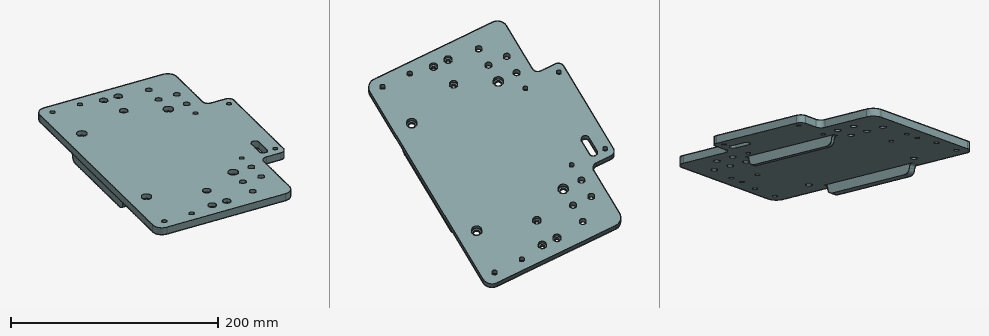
import cadquery as cq

PLATE_WIDTH = 250.0
PLATE_DEPTH = 150.0
PLATE_THICKNESS = 8.0
PLATE_CORNER_RADIUS = 10.0

TAB_WIDTH = 113.0
TAB_LENGTH = 28.0
TAB_RADIUS = 6.0

RIB_HEIGHT = 10.0
RIB_FLARE_RADIUS = 4.0
RIB_ROUND_RADIUS = RIB_HEIGHT - RIB_FLARE_RADIUS
RIB_LEFT = -51.8
FRONT_RIB_RIGHT = 51.0
FRONT_RIB_Y = 1.5
FRONT_RIB_THICKNESS = 8.0
REAR_RIB_RIGHT = 52.0
REAR_RIB_Y = 123.0
REAR_RIB_THICKNESS = 4.0

SLOT_X = 37.0
SLOT_Y = 158.8
SLOT_LENGTH = 24.0
SLOT_WIDTH = 8.0

TAB_HOLE_DIAMETER = 4.5
TAB_HOLE_X = 47.0
TAB_HOLE_FRONT_Y = 134.0
TAB_HOLE_REAR_Y = 170.8

GRID_PITCH = 20.0
GRID_HOLE_DIAMETER = 6.5
GRID_BORE_DIAMETER = 10.0
GRID_BORE_DEPTH = 5.0
GRID_X = 66.0
GRID_Y = 114.5
GRID_FRONT_Y = 19.5

GROUP_HOLE_DIAMETER = 4.5
GROUP_BORE_DIAMETER = 8.0
GROUP_BORE_DEPTH = 4.0
GROUP_INNER_X = 83.8
GROUP_OUTER_X = 109.8
GROUP_LEFT_Y = 75.0
GROUP_RIGHT_Y = 76.0
GROUP_HALF_SPACING = 8.0

EDGE_HOLE_DIAMETER = 5.0
EDGE_HOLE_X = 114.0
EDGE_HOLE_FRONT_Y = 13.2
EDGE_HOLE_REAR_Y = 43.2


def mirrored(points):
    """Return the points together with their mirror images across X = 0."""
    return [(side * x, y) for side in (-1, 1) for x, y in points]


def make_plate():
    """Rounded plate with a narrower tab blended into its rear edge."""
    body = (
        cq.Workplane("XY")
        .rect(PLATE_WIDTH, PLATE_DEPTH)
        .extrude(PLATE_THICKNESS)
        .translate((0, PLATE_DEPTH / 2, 0))
        .edges("|Z")
        .fillet(PLATE_CORNER_RADIUS)
    )
    tab_start = PLATE_DEPTH / 2
    tab_end = PLATE_DEPTH + TAB_LENGTH
    tab = (
        cq.Workplane("XY")
        .rect(TAB_WIDTH, tab_end - tab_start)
        .extrude(PLATE_THICKNESS)
        .translate((0, (tab_start + tab_end) / 2, 0))
        .edges("|Z and >Y")
        .fillet(TAB_RADIUS)
    )
    half_tab = TAB_WIDTH / 2
    inner_corners = cq.selectors.BoxSelector(
        (-half_tab - 2.5, PLATE_DEPTH - 2.5, -2.5),
        (half_tab + 2.5, PLATE_DEPTH + 2.5, PLATE_THICKNESS + 2.5),
    )
    return body.union(tab).edges("|Z").edges(inner_corners).fillet(TAB_RADIUS)


def make_rib(left, right, front_y, thickness):
    """Hanging rib whose ends flare into the plate and are rounded at the bottom."""
    flare = RIB_FLARE_RADIUS
    rounding = RIB_ROUND_RADIUS
    return (
        cq.Workplane("XZ", origin=(0, front_y, 0))
        .moveTo(left - flare, 0)
        .radiusArc((left, -flare), flare)
        .radiusArc((left + rounding, -RIB_HEIGHT), -rounding)
        .lineTo(right - rounding, -RIB_HEIGHT)
        .radiusArc((right, -flare), -rounding)
        .radiusArc((right + flare, 0), flare)
        .close()
        .extrude(-thickness)
    )


def drill(part, points, diameter):
    """Cut plain through holes from the top face."""
    top = cq.Workplane("XY", origin=(0, 0, PLATE_THICKNESS))
    return part.cut(top.pushPoints(points).circle(diameter / 2).extrude(-PLATE_THICKNESS - RIB_HEIGHT))


def counterbore(part, points, diameter, bore_diameter, bore_depth):
    """Cut through holes with a wider flat-bottomed bore in the top face."""
    top = cq.Workplane("XY", origin=(0, 0, PLATE_THICKNESS))
    bores = top.pushPoints(points).circle(bore_diameter / 2).extrude(-bore_depth)
    return drill(part, points, diameter).cut(bores)


def hole_group(side, center_y):
    """One inner hole and two outer holes on the given side of the plate."""
    return [
        (side * GROUP_INNER_X, center_y),
        (side * GROUP_OUTER_X, center_y - GROUP_HALF_SPACING),
        (side * GROUP_OUTER_X, center_y + GROUP_HALF_SPACING),
    ]


result = make_plate()
result = result.union(make_rib(RIB_LEFT, FRONT_RIB_RIGHT, FRONT_RIB_Y, FRONT_RIB_THICKNESS))
result = result.union(make_rib(RIB_LEFT, REAR_RIB_RIGHT, REAR_RIB_Y, REAR_RIB_THICKNESS))

slot = (
    cq.Workplane("XY")
    .center(SLOT_X, SLOT_Y)
    .slot2D(SLOT_LENGTH, SLOT_WIDTH)
    .extrude(PLATE_THICKNESS)
)
result = result.cut(slot)

tab_holes = mirrored([(TAB_HOLE_X, TAB_HOLE_FRONT_Y), (TAB_HOLE_X, TAB_HOLE_REAR_Y)])
result = drill(result, tab_holes, TAB_HOLE_DIAMETER)

edge_holes = mirrored([(EDGE_HOLE_X, EDGE_HOLE_FRONT_Y), (EDGE_HOLE_X, EDGE_HOLE_REAR_Y)])
result = drill(result, edge_holes, EDGE_HOLE_DIAMETER)

grid_steps = [(0, 1), (1, 1), (1, 0), (2, 0)]
grid_holes = mirrored(
    [(GRID_X + column * GRID_PITCH, GRID_Y + row * GRID_PITCH) for column, row in grid_steps]
)
result = drill(result, grid_holes, GRID_HOLE_DIAMETER)

grid_bores = mirrored([(GRID_X, GRID_FRONT_Y), (GRID_X, GRID_Y)])
result = counterbore(result, grid_bores, GRID_HOLE_DIAMETER, GRID_BORE_DIAMETER, GRID_BORE_DEPTH)

group_holes = hole_group(-1, GROUP_LEFT_Y) + hole_group(1, GROUP_RIGHT_Y)
result = counterbore(result, group_holes, GROUP_HOLE_DIAMETER, GROUP_BORE_DIAMETER, GROUP_BORE_DEPTH)